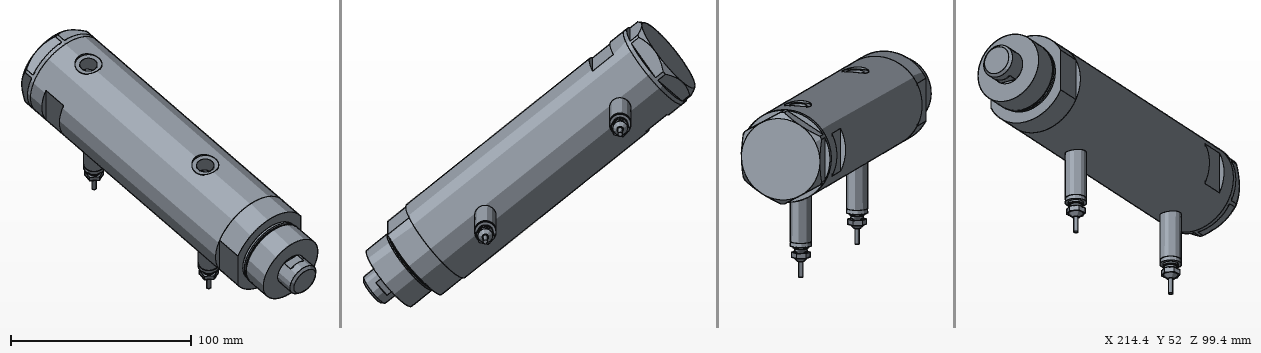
import cadquery as cq
import math


barrel_radius = 26.0
bore_radius = 16.0
socket_radius = 22.0
barrel_start = 11.0
barrel_end = 168.7
across_flats = 46.0
recess_start = 20.7
recess_length = 15.0

port_places = (30.2, 129.7)
port_radius = 4.85
spotface_radius = 7.5
spotface_depth = 1.2

hex_length = 8.5
hex_chamfer = 3.0
spigot_radius = 14.0
spigot_end = 34.3

pilot_start = 132.7
flatted_end = 184.3
neck_radius = 19.5
groove_start = 185.6
groove_depth = 0.6
collar_start = 187.4
collar_end = 202.4
collar_radius = 20.0

rod_radius = 9.5
rod_end = 214.4
rod_chamfer = 1.5
piston_length = 20.0
rod_across_flats = 16.4
rod_flat_end = 208.0

sensor_places = (35.0, 132.7)
sensor_radius = 6.0
sensor_tip = -(socket_radius + 1.0)
sleeve_bottom = -53.2
end_ring_bottom = -55.6
end_ring_top_radius = 5.75
shoulder_bottom = -56.7
shoulder_radius = 4.3
neck_bottom = -59.3
sensor_neck_radius = 3.7
neck_groove_top = -57.3
neck_groove_bottom = -58.6
neck_groove_radius = 3.5
nut_bottom = -62.2
nut_corner_radius = 5.3
nut_turn = -8.0
cone_top_radius = 4.1
cone_bottom = -64.5
cone_bottom_radius = 1.8
cable_radius = 1.25
cable_bottom = -73.4


def cylinder_x(start, end, radius):
    """A round bar along the X axis."""
    return cq.Workplane("YZ").workplane(offset=start).circle(radius).extrude(end - start)


def cylinder_z(x, bottom, top, radius):
    """An upright round bar through the cylinder's middle plane."""
    return cq.Workplane("XY", origin=(x, 0, bottom)).circle(radius).extrude(top - bottom)


def slab_x(start, end, thickness):
    """A block along X, as thick in Y as given and taller than the barrel."""
    height = 3 * barrel_radius
    return cq.Workplane("YZ").workplane(offset=start).rect(thickness, height).extrude(end - start)


def make_barrel():
    barrel = cylinder_x(barrel_start, barrel_end, barrel_radius)
    recess_end = recess_start + recess_length
    recess = slab_x(recess_start, recess_end, 3 * barrel_radius)
    barrel = barrel.cut(recess.cut(slab_x(recess_start, recess_end, across_flats)))
    barrel = barrel.cut(cylinder_x(barrel_start, barrel_end, bore_radius))
    barrel = barrel.cut(cylinder_x(pilot_start, barrel_end, socket_radius))
    for x in port_places:
        barrel = barrel.cut(cylinder_z(x, 0, barrel_radius, port_radius))
        barrel = barrel.cut(cylinder_z(x, barrel_radius - spotface_depth, barrel_radius, spotface_radius))
    for x in sensor_places:
        barrel = barrel.cut(cylinder_z(x, -barrel_radius, sensor_tip, sensor_radius))
    return barrel


def make_cap():
    turned = cylinder_x(0, hex_length, barrel_radius).faces("<X").chamfer(hex_chamfer)
    corner_diameter = across_flats / math.cos(math.radians(30))
    hexagon = (
        cq.Workplane("YZ")
        .transformed(rotate=(0, 0, 90))
        .polygon(6, corner_diameter)
        .extrude(hex_length)
    )
    flange = cylinder_x(hex_length, barrel_start, barrel_radius)
    spigot = cylinder_x(barrel_start, spigot_end, spigot_radius)
    return turned.intersect(hexagon).union(flange).union(spigot)


def make_head():
    groove_radius = neck_radius - groove_depth
    half_profile = (
        cq.Workplane("XZ")
        .moveTo(pilot_start, rod_radius)
        .lineTo(pilot_start, socket_radius)
        .lineTo(barrel_end, socket_radius)
        .lineTo(barrel_end, barrel_radius)
        .lineTo(flatted_end, barrel_radius)
        .lineTo(flatted_end, neck_radius)
        .lineTo(groove_start, neck_radius)
        .lineTo(groove_start + groove_depth, groove_radius)
        .lineTo(collar_start - groove_depth, groove_radius)
        .lineTo(collar_start, neck_radius)
        .lineTo(collar_start, collar_radius)
        .lineTo(collar_end, collar_radius)
        .lineTo(collar_end, rod_radius)
        .close()
    )
    head = half_profile.revolve(360, (0, 0, 0), (1, 0, 0))
    return head.intersect(slab_x(pilot_start, collar_end, across_flats))


def make_rod():
    rod = cylinder_x(spigot_end, rod_end, rod_radius).faces(">X").chamfer(rod_chamfer)
    flats = slab_x(collar_end, rod_flat_end, 3 * rod_radius).rotate((0, 0, 0), (1, 0, 0), 90)
    core = slab_x(collar_end, rod_flat_end, rod_across_flats).rotate((0, 0, 0), (1, 0, 0), 90)
    rod = rod.cut(flats.cut(core))
    return rod.union(cylinder_x(spigot_end, spigot_end + piston_length, bore_radius))


def make_sensor(x):
    half_profile = (
        cq.Workplane("XZ")
        .moveTo(0, sensor_tip)
        .lineTo(sensor_radius, sensor_tip)
        .lineTo(sensor_radius, sleeve_bottom)
        .lineTo(end_ring_top_radius, sleeve_bottom)
        .lineTo(sensor_radius, end_ring_bottom)
        .lineTo(shoulder_radius, end_ring_bottom)
        .lineTo(shoulder_radius, shoulder_bottom)
        .lineTo(sensor_neck_radius, shoulder_bottom)
        .lineTo(sensor_neck_radius, neck_groove_top)
        .lineTo(neck_groove_radius, neck_groove_top)
        .lineTo(neck_groove_radius, neck_groove_bottom)
        .lineTo(sensor_neck_radius, neck_groove_bottom)
        .lineTo(sensor_neck_radius, nut_bottom)
        .lineTo(cone_top_radius, nut_bottom)
        .lineTo(cone_bottom_radius, cone_bottom)
        .lineTo(cable_radius, cone_bottom)
        .lineTo(cable_radius, cable_bottom)
        .lineTo(0, cable_bottom)
        .close()
    )
    turned = half_profile.revolve(360, (0, 0, 0), (0, 1, 0))
    nut = (
        cq.Workplane("XY", origin=(0, 0, nut_bottom))
        .polygon(6, 2 * nut_corner_radius)
        .extrude(neck_bottom - nut_bottom)
        .rotate((0, 0, 0), (0, 0, 1), nut_turn)
    )
    return turned.union(nut).translate((x, 0, 0))


barrel = make_barrel()
cap = make_cap()
head = make_head()
rod = make_rod()
sensors = [make_sensor(x) for x in sensor_places]

result = cq.Compound.makeCompound(
    [barrel.val(), cap.val(), head.val(), rod.val(), *[sensor.val() for sensor in sensors]]
)